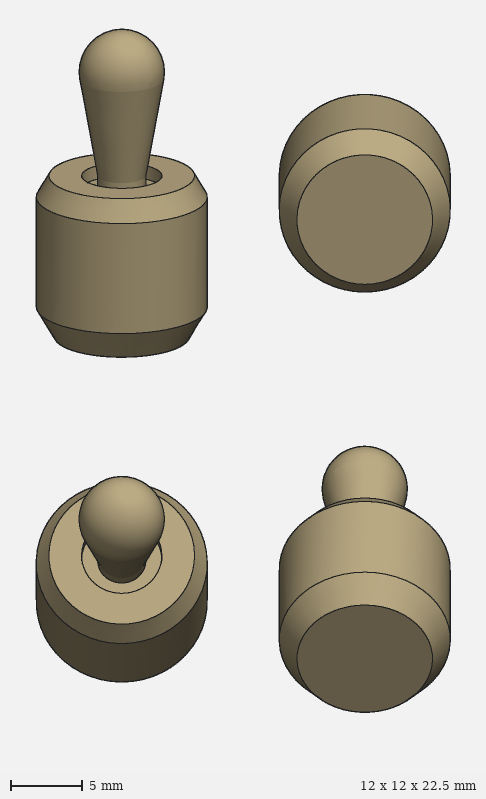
import cadquery as cq
import math

total_height = 22.5
housing_radius = total_height * 4 / 15
housing_height = 11.84

bevel_angle = math.radians(30)
top_bevel_height = 1.55
bottom_bevel_height = 2.15

bore_radius = 2.81

flange_depth = 1.0
flange_top = housing_height - flange_depth
flange_thickness = 1.0
flange_bottom = flange_top - flange_thickness

ball_radius = housing_radius / 2
ball_center = total_height - ball_radius
cone_angle = math.radians(10)
tangent_radius = ball_radius * math.cos(cone_angle)
tangent_height = ball_center - ball_radius * math.sin(cone_angle)
neck_top = housing_height
neck_radius = tangent_radius - (tangent_height - neck_top) * math.tan(cone_angle)


def make_housing():
    """Round housing, beveled at both ends, with a blind bore in its top."""
    top_radius = housing_radius - top_bevel_height * math.tan(bevel_angle)
    bottom_radius = housing_radius - bottom_bevel_height * math.tan(bevel_angle)
    profile = (
        cq.Workplane("XZ")
        .moveTo(0, 0)
        .lineTo(bottom_radius, 0)
        .lineTo(housing_radius, bottom_bevel_height)
        .lineTo(housing_radius, housing_height - top_bevel_height)
        .lineTo(top_radius, housing_height)
        .lineTo(bore_radius, housing_height)
        .lineTo(bore_radius, flange_bottom)
        .lineTo(0, flange_bottom)
        .close()
    )
    return profile.revolve(360, (0, 0), (0, 1))


def make_lever():
    """Lever with a round flange at its foot, then a neck, flaring cone and ball end."""
    arc_middle_angle = (math.pi / 2 - cone_angle) / 2
    arc_middle = (
        ball_radius * math.cos(arc_middle_angle),
        ball_center + ball_radius * math.sin(arc_middle_angle),
    )
    profile = (
        cq.Workplane("XZ")
        .moveTo(0, flange_bottom)
        .lineTo(bore_radius, flange_bottom)
        .lineTo(bore_radius, flange_top)
        .lineTo(neck_radius, flange_top)
        .lineTo(neck_radius, neck_top)
        .lineTo(tangent_radius, tangent_height)
        .threePointArc(arc_middle, (0, total_height))
        .close()
    )
    return profile.revolve(360, (0, 0), (0, 1))


housing = make_housing()
lever = make_lever()

result = cq.Compound.makeCompound([housing.val(), lever.val()])